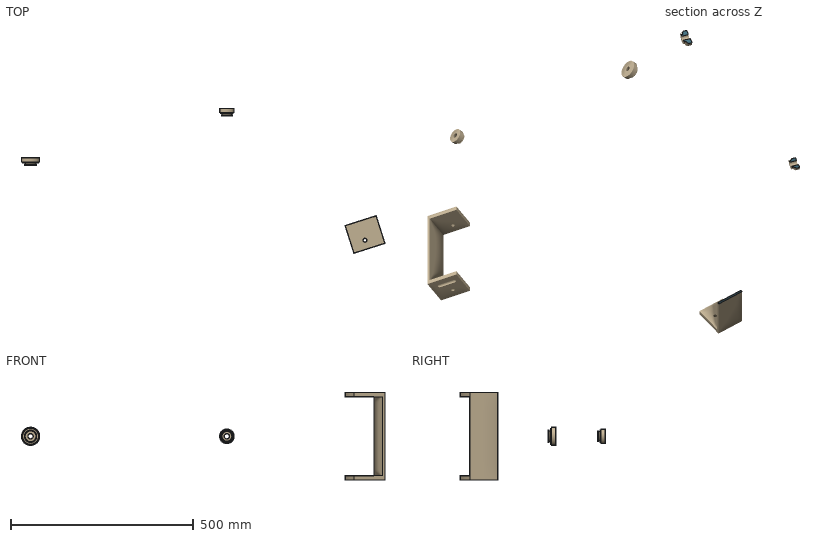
import cadquery as cq
import math


wheel_length = 21.0
rim_width = 12.0
shoulder_width = 3.0
lip_width = 2.0
bore_diameter = 14.0

large_rim_diameter = 50.0
large_shoulder_diameter = 44.0
large_neck_diameter = 30.0
large_lip_diameter = 34.0

small_rim_diameter = 40.0
small_shoulder_diameter = 34.0
small_neck_diameter = 27.0
small_lip_diameter = 30.0
small_wheel_x = 538.0
small_wheel_y = 136.0

bracket_length = 90.0
bracket_width = 80.0
bracket_height = 240.0
flange_thickness = 12.0
web_thickness = 7.0
bracket_angle = 17.7
hole_diameter = 10.0
hole_from_open_end = 40.0
hole_from_near_side = 25.0
slot_length = 56.0
slot_width = 10.0
slot_from_open_end = 14.0
slot_from_far_side = 23.0

overall_x = 997.0
overall_y = 398.0
turn = math.radians(bracket_angle)
bracket_right_x = overall_x - large_rim_diameter / 2
bracket_front_y = small_wheel_y - overall_y
bracket_x = bracket_right_x - bracket_length * math.cos(turn)
bracket_y = bracket_front_y


def make_wheel(rim_diameter, shoulder_diameter, neck_diameter, lip_diameter):
    """Stepped wheel with its back face at Y = 0 and its hub pointing to -Y."""
    shoulder_end = rim_width + shoulder_width
    lip_start = wheel_length - lip_width
    profile = (
        cq.Workplane("XY")
        .moveTo(0, 0)
        .lineTo(rim_diameter / 2, 0)
        .lineTo(rim_diameter / 2, -rim_width)
        .lineTo(shoulder_diameter / 2, -rim_width)
        .lineTo(shoulder_diameter / 2, -shoulder_end)
        .lineTo(neck_diameter / 2, -shoulder_end)
        .lineTo(neck_diameter / 2, -lip_start)
        .lineTo(lip_diameter / 2, -lip_start)
        .lineTo(lip_diameter / 2, -wheel_length)
        .lineTo(0, -wheel_length)
        .close()
    )
    body = profile.revolve(360, (0, 0, 0), (0, 1, 0))
    bore = cq.Workplane("XZ").circle(bore_diameter / 2).extrude(wheel_length)
    return body.cut(bore)


def make_bracket():
    """U bracket with a hole through both flanges and a slot through the lower one."""
    base_z = -bracket_height / 2
    body = cq.Workplane("XY", origin=(0, 0, base_z)).box(
        bracket_length, bracket_width, bracket_height, centered=False
    )
    opening = cq.Workplane("XY", origin=(0, 0, base_z + flange_thickness)).box(
        bracket_length - web_thickness,
        bracket_width,
        bracket_height - 2 * flange_thickness,
        centered=False,
    )
    hole = (
        cq.Workplane("XY", origin=(0, 0, base_z))
        .center(hole_from_open_end, hole_from_near_side)
        .circle(hole_diameter / 2)
        .extrude(bracket_height)
    )
    slot = (
        cq.Workplane("XY", origin=(0, 0, base_z))
        .center(slot_from_open_end + slot_length / 2, bracket_width - slot_from_far_side)
        .slot2D(slot_length, slot_width)
        .extrude(flange_thickness)
    )
    return (
        body.cut(opening)
        .cut(hole)
        .cut(slot)
        .rotate((0, 0, 0), (0, 0, 1), bracket_angle)
        .translate((bracket_x, bracket_y, 0))
    )


large_wheel = make_wheel(
    large_rim_diameter, large_shoulder_diameter, large_neck_diameter, large_lip_diameter
)
small_wheel = make_wheel(
    small_rim_diameter, small_shoulder_diameter, small_neck_diameter, small_lip_diameter
).translate((small_wheel_x, small_wheel_y, 0))
bracket = make_bracket()

result = cq.Compound.makeCompound([large_wheel.val(), small_wheel.val(), bracket.val()])